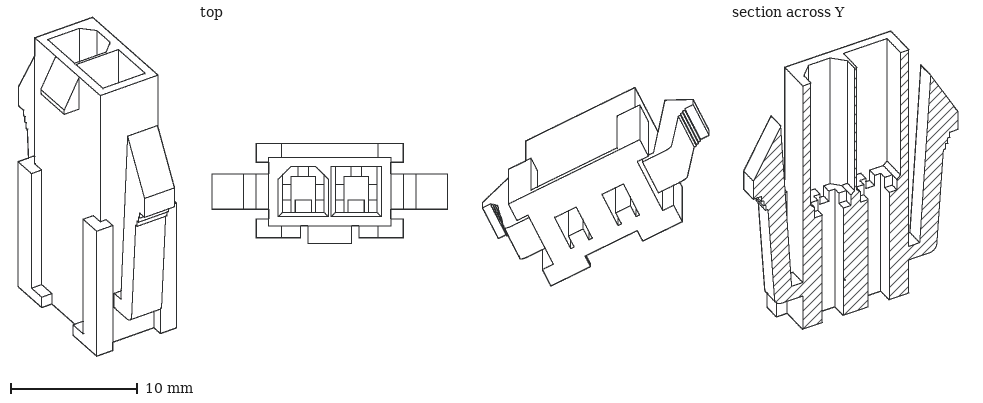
import cadquery as cq

BODY_WIDTH = 9.65
BODY_DEPTH = 5.4
BODY_HEIGHT = 23.9
BODY_FRONT = -BODY_DEPTH / 2
BODY_BACK = BODY_DEPTH / 2

RAIL_SPAN = 11.6
RAIL_WIDTH = 2.0
RAIL_DEPTH = 1.5
RAIL_HEIGHT = 11.9
RAIL_FRONT_REACH = 0.95
RAIL_BACK_REACH = 1.1
RAIL_FRONT = BODY_FRONT - RAIL_FRONT_REACH
RAIL_BACK = BODY_BACK + RAIL_BACK_REACH
FOOT_LENGTH = 1.5
FOOT_HEIGHT = 1.0

CATCH_WIDTH = 3.45
CATCH_REACH = 1.4
CATCH_HEIGHT = 3.05
CATCH_LIP = 0.4

ARM_DEPTH = 2.8
ARM_BOTTOM = 3.25
ARM_FLOOR = 4.62
ARM_TIP_X = 6.8
ARM_TIP_Z = 20.7
ARM_HOOK_X = 9.3
ARM_HOOK_TOP = 16.2
ARM_HOOK_BOTTOM = 14.4
ARM_STEP_X = 8.56
ARM_STEP_COUNT = 3
ARM_STEP_WIDTH = 0.19
ARM_STEP_HEIGHT = 0.5
ARM_FOOT_X = 7.35
ARM_FOOT_RADIUS = 0.7

CAVITY_PITCH = 4.17
CAVITY_SIZE = 3.95
CAVITY_FLOOR = 11.9
CAVITY_CORNER = 1.0
FUNNEL_INSET = 0.33
FUNNEL_HEIGHT = FUNNEL_INSET
CAVITY_BACK = CAVITY_SIZE / 2
CAVITY_FRONT = -CAVITY_SIZE / 2
NECK_WIDTH = CAVITY_SIZE - 2 * FUNNEL_INSET
NECK_FRONT = CAVITY_FRONT + FUNNEL_INSET

PASSAGE_WIDTH = 1.9
BACK_LEDGE = 0.8
PASSAGE_BACK = CAVITY_BACK - BACK_LEDGE
NOTCH_DEPTH = 1.0
BACK_NOTCH_WIDTH = 0.8
SIDE_NOTCH_BACK = 0.55
SIDE_NOTCH_FRONT = -0.65
TONGUE_WIDTH = 1.3


def block(x_range, y_range, z_range):
    """Axis-aligned box between the given limits."""
    size = [high - low for low, high in (x_range, y_range, z_range)]
    corner = (x_range[0], y_range[0], z_range[0])
    return cq.Workplane("XY").box(*size, centered=False).translate(corner)


def make_body():
    half_width = BODY_WIDTH / 2
    return block((-half_width, half_width), (BODY_FRONT, BODY_BACK), (0, BODY_HEIGHT))


def make_rails():
    """Four corner rails, two front feet and the bar joining the back rails."""
    outer = RAIL_SPAN / 2
    inner = outer - RAIL_WIDTH
    front = (RAIL_FRONT, RAIL_FRONT + RAIL_DEPTH)
    back = (RAIL_BACK - RAIL_DEPTH, RAIL_BACK)
    rails = block((-outer, outer), back, (0, FOOT_HEIGHT))
    for x_range in ((-outer, -inner), (inner, outer)):
        for y_range in (front, back):
            rails = rails.union(block(x_range, y_range, (0, RAIL_HEIGHT)))
    foot_end = inner - FOOT_LENGTH
    for x_range in ((-inner, -foot_end), (foot_end, inner)):
        rails = rails.union(block(x_range, front, (0, FOOT_HEIGHT)))
    return rails


def make_catch():
    bottom = BODY_HEIGHT - CATCH_HEIGHT
    tip = BODY_FRONT - CATCH_REACH
    profile = [
        (BODY_FRONT, BODY_HEIGHT),
        (tip, bottom + CATCH_LIP),
        (tip, bottom),
        (BODY_FRONT, bottom),
    ]
    return cq.Workplane("YZ").polyline(profile).close().extrude(CATCH_WIDTH / 2, both=True)


def make_arm():
    """Right-hand arm: hooked head, stepped grip and rounded lower corner."""
    body_side = BODY_WIDTH / 2
    arm = (
        cq.Workplane("XZ")
        .moveTo(body_side, ARM_BOTTOM)
        .lineTo(body_side, ARM_FLOOR)
        .lineTo(RAIL_SPAN / 2, ARM_FLOOR)
        .lineTo(ARM_TIP_X, ARM_TIP_Z)
        .lineTo(ARM_HOOK_X, ARM_HOOK_TOP)
        .lineTo(ARM_HOOK_X, ARM_HOOK_BOTTOM)
        .lineTo(ARM_STEP_X, ARM_HOOK_BOTTOM)
    )
    for _ in range(ARM_STEP_COUNT):
        arm = arm.line(0, -ARM_STEP_HEIGHT).line(-ARM_STEP_WIDTH, 0)
    arm = arm.lineTo(ARM_FOOT_X, ARM_BOTTOM).close().extrude(ARM_DEPTH / 2, both=True)
    foot_edge = cq.selectors.NearestToPointSelector((ARM_FOOT_X, 0, ARM_BOTTOM))
    return arm.edges(foot_edge).fillet(ARM_FOOT_RADIUS)


def cavity_pocket(corner):
    """Square pocket whose back corners are cut off when a corner size is given."""
    half = CAVITY_SIZE / 2
    pocket = block((-half, half), (CAVITY_FRONT, CAVITY_BACK), (CAVITY_FLOOR, BODY_HEIGHT))
    if corner:
        pocket = pocket.edges("|Z and >Y").chamfer(corner)
    return pocket


def cavity_funnel(corner):
    """Space between the sloped ledges on the left, right and front of the cavity floor."""
    half_neck = NECK_WIDTH / 2
    half = CAVITY_SIZE / 2
    bottom = CAVITY_FLOOR - FUNNEL_HEIGHT
    funnel = (
        cq.Workplane("XY", origin=(0, 0, bottom))
        .polyline([(-half_neck, NECK_FRONT), (half_neck, NECK_FRONT),
                   (half_neck, CAVITY_BACK), (-half_neck, CAVITY_BACK)])
        .close()
        .workplane(offset=FUNNEL_HEIGHT)
        .polyline([(-half, CAVITY_FRONT), (half, CAVITY_FRONT),
                   (half, CAVITY_BACK), (-half, CAVITY_BACK)])
        .close()
        .loft(ruled=True)
    )
    limit = cavity_pocket(corner).translate((0, 0, bottom - CAVITY_FLOOR))
    return funnel.intersect(limit)


def terminal_passage():
    """Through passage with a front tongue, and notches in the ledge around it."""
    ledge = CAVITY_FLOOR - FUNNEL_HEIGHT
    notch = (ledge - NOTCH_DEPTH, ledge)
    half_passage = PASSAGE_WIDTH / 2
    half_notch = BACK_NOTCH_WIDTH / 2
    half_neck = NECK_WIDTH / 2
    half_tongue = TONGUE_WIDTH / 2
    passage = block((-half_passage, half_passage), (NECK_FRONT, PASSAGE_BACK), (0, ledge))
    tongue = block((-half_tongue, half_tongue), (NECK_FRONT, SIDE_NOTCH_FRONT), (0, ledge))
    back_notch = block((-half_notch, half_notch), (PASSAGE_BACK, CAVITY_BACK), notch)
    side_notches = block((-half_neck, half_neck), (SIDE_NOTCH_FRONT, SIDE_NOTCH_BACK), notch)
    return passage.cut(tongue).union(back_notch).union(side_notches)


def make_cavity(corner):
    return cavity_pocket(corner).union(cavity_funnel(corner)).union(terminal_passage())


right_arm = make_arm()
left_arm = right_arm.mirror("YZ")
result = make_body().union(make_rails()).union(make_catch())
result = result.union(right_arm).union(left_arm)
result = result.cut(make_cavity(CAVITY_CORNER).translate((-CAVITY_PITCH / 2, 0, 0)))
result = result.cut(make_cavity(0).translate((CAVITY_PITCH / 2, 0, 0)))